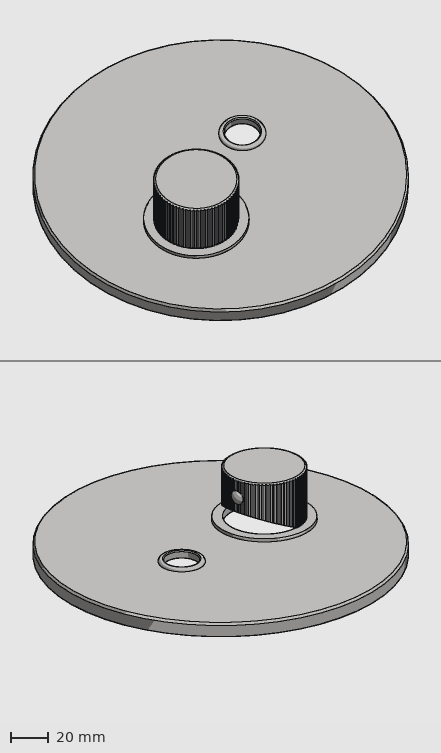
import cadquery as cq
import math

plate_radius = 100.0
plate_top = 9.2
base_radius = 97.5
base_height = 1.2
plate_edge_height = 1.5
plate_edge_width = 1.0
sheet_thickness = 2.5
cavity_radius = base_radius - sheet_thickness
cavity_top = plate_top - sheet_thickness

knob_y = -36.0
flange_radius = 28.2
flange_top = 11.0
flange_edge_height = 1.2
flange_edge_width = 0.2
knob_opening_radius = 22.2

ring_y = 32.2
ring_radius = 12.5
ring_top = flange_top
ring_hole_radius = 9.5
ring_round = 1.5
ring_hole_chamfer = 0.5

knob_radius = 22.8
knob_top = 41.5
dome_rise = 0.5
dome_radius = 21.5
knob_edge_height = 0.8
flute_count = 72
flute_depth = 0.5
land_share = 0.6

slope_angle = 25.0

marker_radius = 5.0
marker_projection = 1.8
marker_z = 30.2


def disc(center_y, bottom, top, radius):
    """Upright cylinder centred at X = 0 and the given Y."""
    return cq.Workplane("XY", origin=(0, center_y, bottom)).circle(radius).extrude(top - bottom)


def make_ring():
    """Raised ring with a rounded shoulder and a chamfered mouth."""
    ring = disc(ring_y, plate_top, ring_top, ring_radius).faces(">Z").edges().fillet(ring_round)
    ring = ring.cut(disc(ring_y, plate_top, ring_top, ring_hole_radius))
    return ring.faces(">Z").edges(cq.selectors.RadiusNthSelector(0)).chamfer(ring_hole_chamfer)


def make_plate():
    """Hollow-backed plate with its knob flange, raised ring and two through holes."""
    base = disc(0, 0, base_height, base_radius)
    body = disc(0, base_height, plate_top, plate_radius)
    body = body.faces(">Z").edges().chamfer(plate_edge_height, plate_edge_width)
    cavity = disc(0, 0, cavity_top, cavity_radius)
    ring_hole = disc(ring_y, 0, plate_top, ring_hole_radius)

    flange = disc(knob_y, plate_top, flange_top, flange_radius)
    flange = flange.faces(">Z").edges().chamfer(flange_edge_height, flange_edge_width)
    knob_opening = disc(knob_y, 0, flange_top, knob_opening_radius)

    shell = base.union(body).cut(cavity).cut(ring_hole)
    return shell.union(flange).cut(knob_opening).union(make_ring())


def make_knob_blank():
    """Turned blank with a domed top and a chamfered rim."""
    shoulder = knob_top - dome_rise
    sphere_radius = (dome_radius**2 + dome_rise**2) / (2 * dome_rise)
    middle_r = dome_radius / 2
    middle_z = knob_top - sphere_radius + math.sqrt(sphere_radius**2 - middle_r**2)
    profile = (
        cq.Workplane("XZ", origin=(0, knob_y, 0))
        .moveTo(0, flange_top)
        .lineTo(knob_radius, flange_top)
        .lineTo(knob_radius, shoulder - knob_edge_height)
        .lineTo(dome_radius, shoulder)
        .threePointArc((middle_r, middle_z), (0, knob_top))
        .close()
    )
    return profile.revolve(360, (0, 0, 0), (0, 1, 0))


def make_fluted_column():
    """Upright column whose outline alternates lands and round-bottomed flutes."""
    pitch = 360 / flute_count
    land_half = land_share * pitch / 2

    def rim_point(angle, radius=knob_radius):
        return (radius * math.cos(math.radians(angle)), radius * math.sin(math.radians(angle)))

    outline = cq.Workplane("XY", origin=(0, knob_y, flange_top)).moveTo(*rim_point(-land_half))
    for i in range(flute_count):
        land_center = i * pitch
        flute_bottom = rim_point(land_center + pitch / 2, knob_radius - flute_depth)
        outline = outline.threePointArc(rim_point(land_center), rim_point(land_center + land_half))
        outline = outline.threePointArc(flute_bottom, rim_point(land_center + pitch - land_half))
    return outline.close().extrude(knob_top - flange_top)


def make_knob():
    """Fluted knob with a sloped underside and a ball marker."""
    slope_run = 2 * knob_radius
    slope_rise = slope_run * math.tan(math.radians(slope_angle))
    slope_cut = (
        cq.Workplane("YZ", origin=(-knob_radius, 0, 0))
        .moveTo(knob_y, flange_top)
        .lineTo(knob_y + slope_run, flange_top)
        .lineTo(knob_y + slope_run, flange_top + slope_rise)
        .close()
        .extrude(2 * knob_radius)
    )
    marker_y = knob_y + knob_radius + marker_projection - marker_radius
    marker = cq.Workplane("XY", origin=(0, marker_y, marker_z)).sphere(marker_radius)
    return make_knob_blank().intersect(make_fluted_column()).cut(slope_cut).union(marker)


plate = make_plate()
knob = make_knob()
result = cq.Compound.makeCompound([plate.solids().val(), knob.solids().val()])